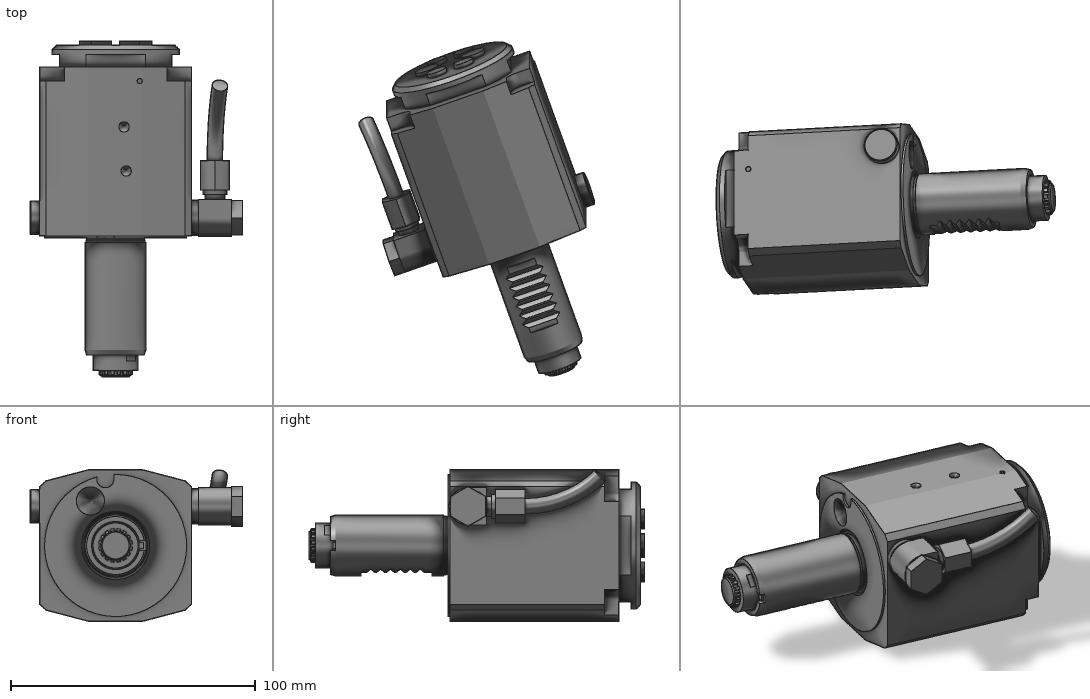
import cadquery as cq
import math


half_size = 31.0
flat_half = 10.9
slope_end = (28.4, 26.4)
bevel_end_z = 24.0
housing_front = 0.85
housing_back = 69.8
notch_depth = 5.8
notch_wall_x = 20.9
notch_wall_z = 17.9
notch_fillet = 4.55

disc_diameter = 58.0
disc_slot_width = 7.0
disc_slot_x = -4.2
disc_slot_round_z = 27.1
recess_diameter = 27.8
recess_floor_diameter = 26.0
recess_depth = 0.8
front_hole_diameter = 11.5
front_hole_x = -10.3
front_hole_z = 18.2
front_hole_tip_angle = 90.0

shank_diameter = 25.0
shank_neck_diameter = 24.1
shank_neck_end = -1.9
seal_groove_diameter = 23.7
seal_groove_end = -0.85
shank_chamfer_start = -45.8
shank_end_diameter = 23.7
shank_end = -47.9
nose_diameter = 18.4
nose_end = -54.1
nose_bore_diameter = 19.6
nose_gap_depth = 2.0
nose_flat_width = 5.3
nose_flat_length = 2.4
nose_flat_angle = 45.0
end_slot_width = 4.0
end_slot_depth = 2.0
key_width = 2.5
key_outer_x = 11.3
key_height = 1.0
spline_tip_diameter = 13.8
spline_root_diameter = 12.0
spline_end_diameter = 11.0
spline_end = -56.8
spline_root_end = -56.2
spline_bevel_length = 1.0
spline_teeth = 16
spline_gap_outer = 1.7
spline_gap_inner = 1.0

toothing_start = -6.6
toothing_end = -35.4
toothing_land_z = -11.0
toothing_root_z = -9.6
groove_pitch = 4.05
groove_half_width = 1.7
groove_count = 6
first_groove = -11.3

flange_diameter = 52.0
flange_rim_end = 76.9
flange_end = 78.65
flange_end_diameter = 48.4
flange_flat_distance = 23.0
flange_flat_end = 74.8
pad_end = 80.35
large_pad_diameter = 9.8
large_pad_x = 9.93
small_pad_diameter = 8.2
small_pad_x = 5.75
small_pad_z = 10.75

vent_diameter = 2.1
vent_depth = 0.5
vent_offset = 9.85
vent_y = 64.0
dimple_diameter = 4.2
dimple_places = ((3.45, 45.3), (4.3, 27.3))
dimple_tip_angle = 90.0

port_y = 8.2
port_z = 16.0
plug_diameter = 13.8
plug_end_x = -35.0
plug_chamfer = 0.4
collar_diameter = 14.5
collar_end_x = 33.75
elbow_end_x = 47.3
elbow_half_height = 7.7
elbow_back = 15.75
bolt_head_end_x = 51.85
bolt_head_flats = 14.1
union_x = (collar_end_x + elbow_end_x) / 2
union_neck_diameter = 8.2
union_neck_end = 17.7
union_ring_diameter = 9.8
union_ring_end = 19.45
union_nut_flats = 11.8
union_nut_end = 31.5
hose_diameter = 6.37
hose_bend_radius = 43.4
hose_bend_angle = 45.0
hose_lean = 9.4

overlap = 0.5


def hexagon_diameter(across_flats):
    return across_flats / math.cos(math.pi / 6)


def cylinder_y(diameter, y_start, y_end, x=0.0, z=0.0):
    base = cq.Vector(x, y_start, z)
    return cq.Workplane(cq.Solid.makeCylinder(diameter / 2, y_end - y_start, base, cq.Vector(0, 1, 0)))


def cylinder_x(diameter, x_start, x_end):
    base = cq.Vector(x_start, port_y, port_z)
    return cq.Workplane(cq.Solid.makeCylinder(diameter / 2, x_end - x_start, base, cq.Vector(1, 0, 0)))


def block(x_range, y_range, z_range):
    """Box between the given limits along each axis."""
    sizes = [high - low for low, high in (x_range, y_range, z_range)]
    return cq.Workplane().box(*sizes, centered=False).translate((x_range[0], y_range[0], z_range[0]))


def turned(points):
    """Solid of revolution about Y from (radius, y) points."""
    return cq.Workplane("XY").polyline(points).close().revolve(360, (0, 0, 0), (0, 1, 0))


def conical_hole(diameter, mouth, direction, tip_angle):
    """Cone running inwards from the centre of its mouth."""
    radius = diameter / 2
    depth = radius / math.tan(math.radians(tip_angle / 2))
    return cq.Workplane(cq.Solid.makeCone(radius, 0, depth, cq.Vector(*mouth), cq.Vector(*direction)))


def make_housing():
    slope_x, slope_z = slope_end
    quarter = [(flat_half, half_size), (slope_x, slope_z), (half_size, bevel_end_z)]
    right_half = quarter + [(x, -z) for x, z in reversed(quarter)]
    outline = right_half + [(-x, -z) for x, z in right_half]
    length = housing_back - housing_front
    body = cq.Workplane("XZ").polyline(outline).close().extrude(-length).translate((0, housing_front, 0))

    notch = block(
        (notch_wall_x, 2 * half_size),
        (housing_back - notch_depth, housing_back),
        (notch_wall_z, 2 * half_size),
    )
    notch = notch.edges("|Y and <X and <Z").fillet(notch_fillet)
    for side in (notch, notch.mirror("YZ")):
        body = body.cut(side).cut(side.mirror("XY"))
    return body


def make_disc():
    disc = cylinder_y(disc_diameter, 0, housing_front)
    slot = cylinder_y(disc_slot_width, 0, housing_front, disc_slot_x, disc_slot_round_z)
    half_slot = disc_slot_width / 2
    slot_mouth = block(
        (disc_slot_x - half_slot, disc_slot_x + half_slot),
        (0, housing_front),
        (disc_slot_round_z, half_size),
    )
    recess = turned([
        (0, 0),
        (recess_diameter / 2, 0),
        (recess_floor_diameter / 2, recess_depth),
        (0, recess_depth),
    ])
    return disc.cut(slot).cut(slot_mouth).cut(recess)


def make_shank():
    shank = turned([
        (0, housing_front + overlap),
        (seal_groove_diameter / 2, housing_front + overlap),
        (seal_groove_diameter / 2, seal_groove_end),
        (shank_neck_diameter / 2, seal_groove_end),
        (shank_neck_diameter / 2, shank_neck_end),
        (shank_diameter / 2, shank_neck_end),
        (shank_diameter / 2, shank_chamfer_start),
        (shank_end_diameter / 2, shank_end),
        (nose_bore_diameter / 2, shank_end),
        (nose_bore_diameter / 2, shank_end + nose_gap_depth),
        (nose_diameter / 2, shank_end + nose_gap_depth),
        (nose_diameter / 2, nose_end),
        (0, nose_end),
    ])
    shank = shank.cut(make_toothing()).cut(make_end_slot()).cut(make_nose_flat())
    return shank.union(make_key())


def make_toothing():
    """Flat under the shank with V grooves across it."""
    half_width = shank_diameter / 2
    cutter = block(
        (-half_width, half_width),
        (toothing_end, toothing_start),
        (-shank_diameter, toothing_land_z),
    )
    for index in range(groove_count):
        centre = first_groove - index * groove_pitch
        groove = (
            cq.Workplane("YZ")
            .polyline([
                (centre - groove_half_width, toothing_land_z),
                (centre, toothing_root_z),
                (centre + groove_half_width, toothing_land_z),
            ])
            .close()
            .extrude(half_width, both=True)
        )
        cutter = cutter.union(groove)
    return cutter


def make_end_slot():
    """Driver slot in the end face of the shank, open to the outside."""
    return block(
        (nose_diameter / 2, shank_diameter / 2),
        (shank_end, shank_end + end_slot_depth),
        (-end_slot_width / 2, end_slot_width / 2),
    )


def make_key():
    """Driving key on the floor of the end slot, against the nose."""
    slot_floor = shank_end + end_slot_depth
    return block(
        (nose_diameter / 2 - overlap, key_outer_x),
        (slot_floor - key_height, slot_floor + overlap),
        (-key_width / 2, key_width / 2),
    )


def make_nose_flat():
    """Flat milled on the nose next to the shank."""
    nose_radius = nose_diameter / 2
    flat_distance = math.sqrt(nose_radius**2 - (nose_flat_width / 2) ** 2)
    cutter = block(
        (flat_distance, nose_diameter),
        (shank_end - nose_flat_length, shank_end),
        (-nose_radius, nose_radius),
    )
    return cutter.rotate((0, 0, 0), (0, 1, 0), -nose_flat_angle)


def make_spline():
    tip_radius = spline_tip_diameter / 2
    root_radius = spline_root_diameter / 2
    end_radius = spline_end_diameter / 2
    spline = turned([
        (0, nose_end + overlap),
        (tip_radius, nose_end + overlap),
        (tip_radius, spline_end + spline_bevel_length),
        (root_radius, spline_root_end),
        (end_radius, spline_end),
        (0, spline_end),
    ])
    gap = (
        cq.Workplane("XZ")
        .polyline([
            (root_radius, -spline_gap_inner / 2),
            (tip_radius + overlap, -spline_gap_outer / 2),
            (tip_radius + overlap, spline_gap_outer / 2),
            (root_radius, spline_gap_inner / 2),
        ])
        .close()
        .extrude(nose_end - spline_end)
        .translate((0, nose_end, 0))
    )
    for index in range(spline_teeth):
        spline = spline.cut(gap.rotate((0, 0, 0), (0, 1, 0), index * 360 / spline_teeth))
    return spline


def make_flange():
    flange_radius = flange_diameter / 2
    flange = turned([
        (0, housing_back - overlap),
        (flange_radius, housing_back - overlap),
        (flange_radius, flange_rim_end),
        (flange_end_diameter / 2, flange_end),
        (0, flange_end),
    ])
    flat_cutter = block(
        (flange_flat_distance, flange_diameter),
        (housing_back - overlap, flange_flat_end),
        (-flange_radius, flange_radius),
    )
    for quarter_turn in range(4):
        flange = flange.cut(flat_cutter.rotate((0, 0, 0), (0, 1, 0), quarter_turn * 90))

    for side in (-1, 1):
        flange = flange.union(
            cylinder_y(large_pad_diameter, flange_end - overlap, pad_end, side * large_pad_x)
        )
        for level in (-1, 1):
            flange = flange.union(
                cylinder_y(
                    small_pad_diameter,
                    flange_end - overlap,
                    pad_end,
                    side * small_pad_x,
                    level * small_pad_z,
                )
            )
    return flange


def make_housing_holes():
    down = (0, 0, -1)
    top_vent = cq.Workplane("XY", origin=(vent_offset, vent_y, half_size)).circle(vent_diameter / 2)
    side_vent = cq.Workplane("YZ", origin=(-half_size, vent_y, vent_offset)).circle(vent_diameter / 2)
    holes = top_vent.extrude(-vent_depth).union(side_vent.extrude(vent_depth))
    for x, y in dimple_places:
        holes = holes.union(conical_hole(dimple_diameter, (x, y, half_size), down, dimple_tip_angle))
    front_mouth = (front_hole_x, 0, front_hole_z)
    backwards = (0, 1, 0)
    return holes.union(conical_hole(front_hole_diameter, front_mouth, backwards, front_hole_tip_angle))


def make_plug():
    plug = cylinder_x(plug_diameter, plug_end_x, -half_size + overlap)
    return plug.faces("<X").chamfer(plug_chamfer)


def make_elbow():
    """Swivel elbow with its hollow-bolt head, on the +X side."""
    collar = cylinder_x(collar_diameter, half_size - overlap, collar_end_x + overlap)
    elbow_length = elbow_end_x - collar_end_x
    elbow = (
        cq.Workplane("YZ", origin=(collar_end_x, port_y, port_z))
        .moveTo(0, elbow_half_height)
        .threePointArc((-elbow_half_height, 0), (0, -elbow_half_height))
        .lineTo(elbow_back - port_y, -elbow_half_height)
        .lineTo(elbow_back - port_y, elbow_half_height)
        .close()
        .extrude(elbow_length)
    )
    bolt_head = (
        cq.Workplane("YZ", origin=(elbow_end_x, port_y, port_z))
        .transformed(rotate=(0, 0, 90))
        .polygon(6, hexagon_diameter(bolt_head_flats))
        .extrude(bolt_head_end_x - elbow_end_x)
    )
    return collar.union(elbow).union(bolt_head)


def make_union():
    """Hose union on the back of the elbow: neck, ring and hexagon nut."""
    neck = cylinder_y(union_neck_diameter, elbow_back - overlap, union_ring_end, union_x, port_z)
    ring = cylinder_y(union_ring_diameter, union_neck_end, union_ring_end + overlap, union_x, port_z)
    nut = (
        cq.Workplane("XZ", origin=(union_x, union_ring_end, port_z))
        .transformed(rotate=(0, 0, 90))
        .polygon(6, hexagon_diameter(union_nut_flats))
        .extrude(union_ring_end - union_nut_end)
    )
    return neck.union(ring).union(nut)


def make_hose():
    """Hose stub bending upwards from the union nut."""
    hose = (
        cq.Workplane("XZ", origin=(union_x, union_nut_end, port_z))
        .circle(hose_diameter / 2)
        .revolve(hose_bend_angle, (-1, hose_bend_radius), (1, hose_bend_radius))
    )
    axis_start = (union_x, 0, port_z)
    axis_end = (union_x, 1, port_z)
    return hose.rotate(axis_start, axis_end, hose_lean)


result = make_housing().union(make_disc()).cut(make_housing_holes())
for component in (
    make_shank(),
    make_spline(),
    make_flange(),
    make_plug(),
    make_elbow(),
    make_union(),
    make_hose(),
):
    result = result.union(component)